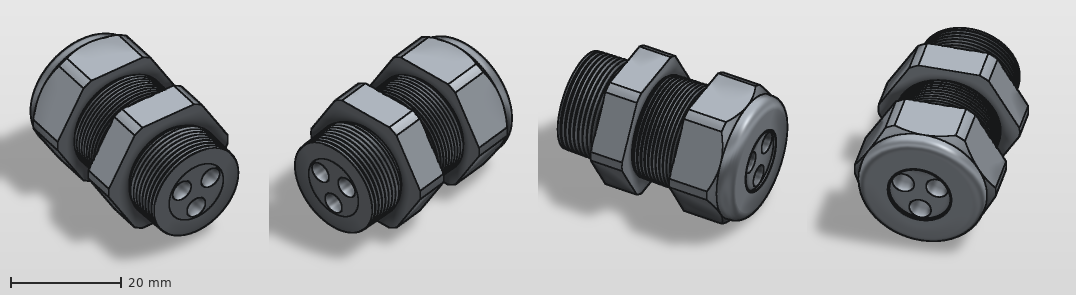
import cadquery as cq
import math


hexagon_sides = 6
across_flats = 23.88
across_corners = 26.49
flat_radius = across_flats / 2
corner_radius = across_corners / 2

overall_length = 36.83
dome_radius = 2.05
nut_chamfer_start = 2.80
nut_end = 11.84
flange_start = 21.53
flange_end = 28.00

insert_radius = 6.02
recess_radius = 5.77
recess_depth = 0.45

hole_count = 3
hole_radius = 2.05
hole_circle_radius = 3.66
first_hole_angle = -90

thread_taper_drop = 0.16

nut_thread_crest = 10.02
nut_thread_root = 9.47
nut_thread_pitch = 0.76
nut_thread_first_crest = 12.55
nut_thread_crests = 12

entry_thread_crest = 9.61
entry_thread_root = 8.95
entry_thread_pitch = 0.903
entry_thread_first_crest = 29.75
entry_thread_crests = 8
relief_radius = 8.70
relief_end_x = 28.96
relief_end_radius = 9.36
relief_mid_x = 28.50
relief_mid_radius = 8.95


def cylinder(start, end, radius):
    """Cylinder on the X axis."""
    return cq.Workplane("YZ", origin=(start, 0, 0)).circle(radius).extrude(end - start)


def hexagon(start, end):
    """Hexagonal prism with its corners turned down to the across-corners diameter."""
    sharp_diameter = across_flats / math.cos(math.pi / hexagon_sides)
    start_plane = cq.Workplane("YZ", origin=(start, 0, 0))
    prism = start_plane.polygon(hexagon_sides, sharp_diameter).extrude(end - start)
    return prism.intersect(cylinder(start, end, corner_radius))


def revolve_about_x(profile):
    """Revolve a closed profile, drawn as (x, radius), about the X axis."""
    return profile.close().revolve(360, (0, 0, 0), (1, 0, 0))


def thread_points(first_crest, count, pitch, crest, root):
    """Outline of ring-shaped V teeth: each crest followed by a root half a pitch later.

    The blank tapers evenly, so the first tooth is sharp and the later crests end in growing flats.
    """
    half_pitch = pitch / 2
    points = []
    for index in range(count):
        x = first_crest + index * pitch
        crest_drop = thread_taper_drop * index / (count - 1)
        half_flat = crest_drop * half_pitch / (crest - root)
        points.append((x - half_flat, crest - crest_drop))
        if half_flat > 0:
            points.append((x + half_flat, crest - crest_drop))
        points.append((x + half_pitch, root))
    return points


def make_nut():
    """Hexagon with a domed front and a 45 degree chamfer on its corners."""
    blank = hexagon(0, nut_end)
    chamfer_end = nut_chamfer_start + corner_radius - flat_radius
    dome_arc_step = dome_radius * (1 - math.sqrt(0.5))
    envelope = revolve_about_x(
        cq.Workplane("XY")
        .moveTo(0, 0)
        .lineTo(0, flat_radius - dome_radius)
        .threePointArc((dome_arc_step, flat_radius - dome_arc_step), (dome_radius, flat_radius))
        .lineTo(nut_chamfer_start, flat_radius)
        .lineTo(chamfer_end, corner_radius)
        .lineTo(nut_end, corner_radius)
        .lineTo(nut_end, 0)
    )
    return blank.intersect(envelope)


def make_nut_thread():
    """Thread from the rear face of the nut to the flange."""
    teeth = thread_points(
        nut_thread_first_crest, nut_thread_crests, nut_thread_pitch, nut_thread_crest, nut_thread_root
    )
    return revolve_about_x(
        cq.Workplane("XY")
        .moveTo(nut_end, 0)
        .lineTo(nut_end, nut_thread_root)
        .lineTo(nut_thread_first_crest - nut_thread_pitch / 2, nut_thread_root)
        .polyline(teeth, includeCurrent=True)
        .lineTo(flange_start, nut_thread_root)
        .lineTo(flange_start, 0)
    )


def make_entry_thread():
    """Thread behind the flange; the end face cuts through its last tooth."""
    teeth = thread_points(
        entry_thread_first_crest,
        entry_thread_crests,
        entry_thread_pitch,
        entry_thread_crest,
        entry_thread_root,
    )
    last_root_x = teeth[-1][0]
    flank_slope = (entry_thread_crest - entry_thread_root) / (entry_thread_pitch / 2)
    end_radius = entry_thread_root + flank_slope * (overall_length - last_root_x)
    return revolve_about_x(
        cq.Workplane("XY")
        .moveTo(flange_end, 0)
        .lineTo(flange_end, relief_radius)
        .threePointArc((relief_mid_x, relief_mid_radius), (relief_end_x, relief_end_radius))
        .lineTo(entry_thread_first_crest - entry_thread_pitch / 2, entry_thread_root)
        .polyline(teeth, includeCurrent=True)
        .lineTo(overall_length, end_radius)
        .lineTo(overall_length, 0)
    )


def make_cable_holes():
    """Cylinders for the cable holes, one of them straight below the axis."""
    return (
        cq.Workplane("YZ")
        .polarArray(hole_circle_radius, first_hole_angle, 360, hole_count)
        .circle(hole_radius)
        .extrude(overall_length)
    )


def make_gland():
    """Domed nut, threads and flange in one piece, bored through for the insert."""
    flange = hexagon(flange_start, flange_end)
    solid = make_nut().union(make_nut_thread()).union(flange).union(make_entry_thread())
    return solid.cut(cylinder(0, overall_length, insert_radius))


def make_insert():
    """Plug with a shallow front recess and through holes for the cables."""
    plug = cylinder(0, overall_length, insert_radius)
    return plug.cut(cylinder(0, recess_depth, recess_radius)).cut(make_cable_holes())


gland = make_gland()
insert = make_insert()

result = cq.Compound.makeCompound([gland.val(), insert.val()])